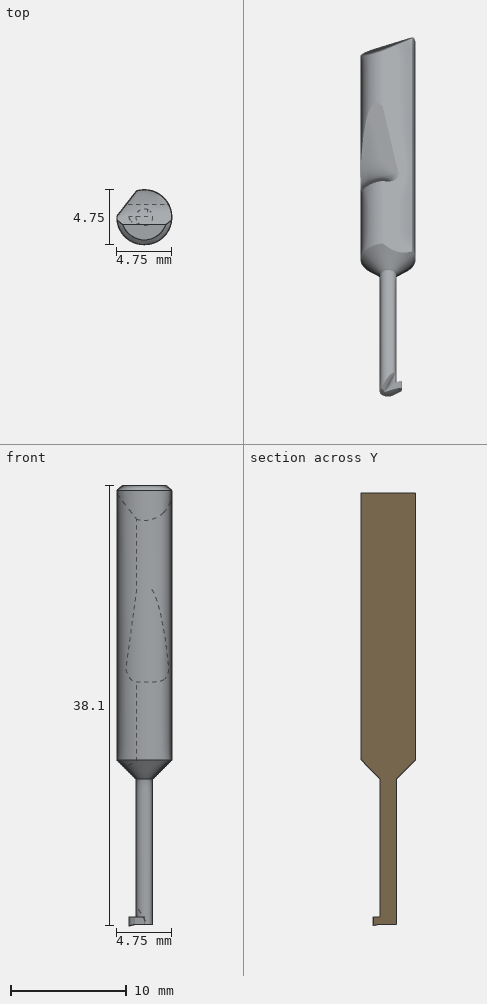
import cadquery as cq
import math

total_length = 38.1
shank_radius = 4.75 / 2
shank_bottom = 14.35
top_chamfer = 0.42
neck_radius = 0.72
cone_height = shank_radius - neck_radius

flat_direction = 142.0
flat_half_angle = 36.0
flat_distance = shank_radius * math.cos(math.radians(flat_half_angle))

bevel_top_y = -0.65

notch_top = 29.65
notch_deepest_z = 22.35
notch_bottom = 21.1
notch_floor_y = 1.1
notch_radius = notch_deepest_z - notch_bottom

head_height = 0.8
rake_y = 0.08
tip_x = -1.35
heel_x = -0.88
heel_y = -0.55
flank_bulge = 0.08
end_relief = 0.1

gullet_top = 1.83
gullet_bottom_x = 0.35

clearance = 3.8


def make_body():
    """Round shank, cone and neck, revolved about Z."""
    profile = [
        (0, 0),
        (neck_radius, 0),
        (neck_radius, shank_bottom - cone_height),
        (shank_radius, shank_bottom),
        (shank_radius, total_length - top_chamfer),
        (shank_radius - top_chamfer, total_length),
        (0, total_length),
    ]
    return cq.Workplane("XZ").polyline(profile).close().revolve(360, (0, 0), (0, 1))


def make_side_flat():
    """Cutter for the full-length flat on the shank."""
    return (
        cq.Workplane("XY")
        .box(clearance, 2 * clearance, total_length, centered=(False, True, False))
        .translate((flat_distance, 0, 0))
        .rotate((0, 0, 0), (0, 0, 1), flat_direction)
    )


def make_top_bevel():
    """Triangular cutter that slopes down toward +Y."""
    return (
        cq.Workplane("YZ")
        .moveTo(bevel_top_y, total_length)
        .lineTo(bevel_top_y + clearance, total_length - clearance)
        .lineTo(bevel_top_y + clearance, total_length)
        .close()
        .extrude(clearance, both=True)
    )


def make_notch():
    """Cutter with a sloping floor that ends in a rounded lower shoulder."""
    shoulder_y = notch_floor_y + notch_radius
    arc_offset = notch_radius * math.sqrt(0.5)
    return (
        cq.Workplane("YZ")
        .moveTo(shank_radius, notch_top)
        .lineTo(notch_floor_y, notch_deepest_z)
        .threePointArc(
            (shoulder_y - arc_offset, notch_deepest_z - arc_offset),
            (shoulder_y, notch_bottom),
        )
        .lineTo(shank_radius + clearance, notch_bottom)
        .lineTo(shank_radius + clearance, notch_top)
        .close()
        .extrude(clearance, both=True)
    )


def make_head():
    """Hooked cutting head with a curved flank below the cutting edge."""
    flank_middle = ((tip_x + heel_x) / 2 - flank_bulge, (rake_y + heel_y) / 2 - flank_bulge)
    return (
        cq.Workplane("XY")
        .moveTo(0, rake_y)
        .lineTo(tip_x, rake_y)
        .threePointArc(flank_middle, (heel_x, heel_y))
        .lineTo(0, -neck_radius)
        .close()
        .extrude(head_height)
    )


def make_flank_trim():
    """Cutter that carries the straight head flank across the neck."""
    return (
        cq.Workplane("XY")
        .moveTo(heel_x, heel_y)
        .lineTo(0, -neck_radius)
        .lineTo(0, -clearance)
        .lineTo(heel_x, -clearance)
        .close()
        .extrude(head_height)
    )


def make_gullet():
    """Sloped cutter that opens the +Y side of the neck above the rake face."""
    return (
        cq.Workplane("XZ", origin=(0, rake_y, 0))
        .moveTo(-neck_radius, gullet_top)
        .lineTo(gullet_bottom_x, 0)
        .lineTo(-clearance, 0)
        .lineTo(-clearance, gullet_top)
        .close()
        .extrude(-clearance)
    )


def make_end_relief():
    """Thin wedge that leaves the cutting tip as the lowest point."""
    return (
        cq.Workplane("XZ")
        .moveTo(tip_x, 0)
        .lineTo(heel_x, end_relief)
        .lineTo(neck_radius, end_relief)
        .lineTo(neck_radius, 0)
        .close()
        .extrude(clearance, both=True)
    )


shank = make_body().cut(make_side_flat()).cut(make_top_bevel()).cut(make_notch())
head_and_shank = shank.union(make_head()).cut(make_flank_trim())
result = head_and_shank.cut(make_gullet()).cut(make_end_relief())